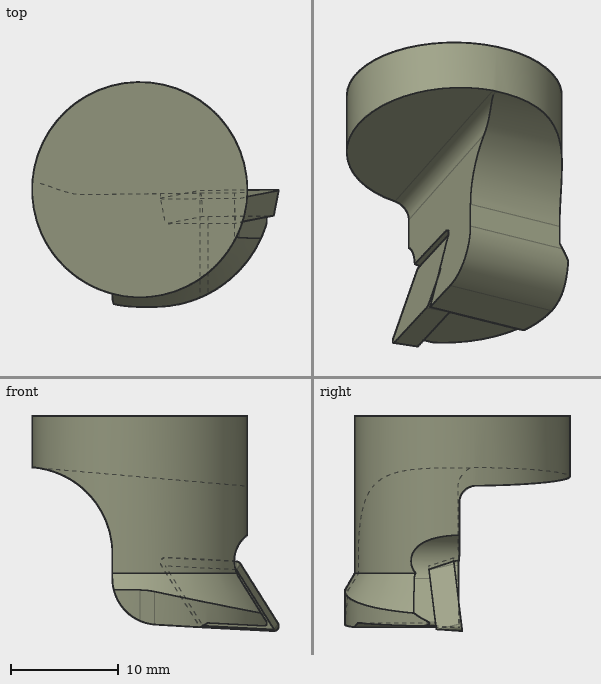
import cadquery as cq
import math


TOOL_HEIGHT = 20.0
SHANK_RADIUS = 10.0
CLEARANCE = 1.0

INSERT_EDGE = 7.75
INSERT_THICKNESS = 2.38
INSERT_NOSE_ANGLE = 55.0
INSERT_NOSE_RADIUS = 0.48
INSERT_RELIEF = 11.0
RAKE_TILT = 7.0
END_EDGE_ANGLE = 3.0
TIP_REACH = 12.92

NECK_LEFT = -2.55
BACK_RELIEF_RADIUS = 8.0
BACK_RELIEF_CENTER_Z = 7.22
HEEL_RADIUS = 4.3
HEEL_START_Z = 4.89
INSERT_SETBACK_BOTTOM = 0.45
INSERT_SETBACK_FLANK = 0.83
STEP_RUN = 0.7
HOLDER_TIP_RADIUS = 0.25
CHIP_NOTCH_RADIUS = 3.0
CHIP_NOTCH_LEFT = 8.79

FLARE_TOP_Z = 5.39
FLARE_ANGLE = 30.0
FOOT_RADIUS = 10.9
FOOT_STRETCH = 1.35

RAKE_FACE_Y = -0.38
RAKE_FACE_YAW = 0.7
CEILING_Z = 14.36
CEILING_TILT = 5.0
CEILING_FILLET = 1.5


def along(point, angle, distance):
    """Point reached from `point` at `angle` degrees in the XZ plane."""
    rad = math.radians(angle)
    return (point[0] + distance * math.cos(rad), point[1] + distance * math.sin(rad))


def crossing(point_a, angle_a, point_b, angle_b):
    """Intersection of two lines, each given by a point and an angle."""
    dx = point_b[0] - point_a[0]
    dz = point_b[1] - point_a[1]
    a, b = math.radians(angle_a), math.radians(angle_b)
    travel = (dx * math.sin(b) - dz * math.cos(b)) / math.sin(b - a)
    return along(point_a, angle_a, travel)


END_DIRECTION = 180.0 - END_EDGE_ANGLE
FLANK_DIRECTION = END_DIRECTION - INSERT_NOSE_ANGLE
FLANK_OUTWARD = FLANK_DIRECTION - 90.0

nose_center = (TIP_REACH - INSERT_NOSE_RADIUS, INSERT_NOSE_RADIUS)
nose_bisector = (END_DIRECTION + FLANK_DIRECTION) / 2
nose_offset = INSERT_NOSE_RADIUS / math.sin(math.radians(INSERT_NOSE_ANGLE / 2))
tip = along(nose_center, nose_bisector + 180.0, nose_offset)
upper_corner = along(tip, FLANK_DIRECTION, INSERT_EDGE)
heel_corner = along(tip, END_DIRECTION, INSERT_EDGE)
inner_corner = along(upper_corner, END_DIRECTION, INSERT_EDGE)
insert_corners = [tip, upper_corner, inner_corner, heel_corner]


def tilt_to_rake(body):
    return body.rotate((0, 0, 0), (1, 0, 0), RAKE_TILT)


def insert_outline():
    """Rhombus with rounded corners in the XZ plane."""
    return (
        cq.Workplane("XZ").polyline(insert_corners).close()
        .offset2D(-INSERT_NOSE_RADIUS).offset2D(INSERT_NOSE_RADIUS)
    )


def make_insert():
    return tilt_to_rake(insert_outline().extrude(INSERT_THICKNESS, taper=INSERT_RELIEF))


def make_insert_opening():
    """Straight opening in front of the rake face, so the pocket is open towards +Y."""
    return tilt_to_rake(insert_outline().extrude(-SHANK_RADIUS))


def make_profile():
    """Outline of the holder in the XZ plane, extruded across the whole stock."""
    outer = FOOT_RADIUS + FOOT_STRETCH + CLEARANCE

    back_center = (NECK_LEFT - BACK_RELIEF_RADIUS, BACK_RELIEF_CENTER_Z)
    back_top = along(back_center, 90, BACK_RELIEF_RADIUS)
    back_mid = along(back_center, 45, BACK_RELIEF_RADIUS)
    back_end = along(back_center, 0, BACK_RELIEF_RADIUS)
    heel_center = (NECK_LEFT + HEEL_RADIUS, HEEL_START_Z)
    heel_start = along(heel_center, 180, HEEL_RADIUS)
    heel_mid = along(heel_center, 225, HEEL_RADIUS)
    heel_end = along(heel_center, END_DIRECTION + 90, HEEL_RADIUS)

    step_end = along(
        along(heel_corner, END_DIRECTION + 180, STEP_RUN), END_DIRECTION - 90, INSERT_SETBACK_BOTTOM
    )
    flank_point = along(tip, FLANK_OUTWARD + 180, INSERT_SETBACK_FLANK)
    holder_tip = crossing(step_end, END_DIRECTION, flank_point, FLANK_DIRECTION)

    notch_center = crossing(
        along(flank_point, FLANK_OUTWARD, CHIP_NOTCH_RADIUS), FLANK_DIRECTION,
        (CHIP_NOTCH_LEFT + CHIP_NOTCH_RADIUS, 0), 90,
    )
    notch_start = along(notch_center, FLANK_OUTWARD + 180, CHIP_NOTCH_RADIUS)
    notch_mid = along(notch_center, 180, CHIP_NOTCH_RADIUS)
    notch_top = along(notch_center, 90, CHIP_NOTCH_RADIUS)

    tip_trim = HOLDER_TIP_RADIUS / math.tan(math.radians(INSERT_NOSE_ANGLE / 2))
    tip_center = along(
        holder_tip, nose_bisector, HOLDER_TIP_RADIUS / math.sin(math.radians(INSERT_NOSE_ANGLE / 2))
    )
    round_start = along(holder_tip, END_DIRECTION, tip_trim)
    round_mid = along(tip_center, nose_bisector + 180, HOLDER_TIP_RADIUS)
    round_end = along(holder_tip, FLANK_DIRECTION, tip_trim)

    return (
        cq.Workplane("XZ")
        .moveTo(-outer, TOOL_HEIGHT)
        .lineTo(-outer, back_top[1])
        .lineTo(*back_top)
        .threePointArc(back_mid, back_end)
        .lineTo(*heel_start)
        .threePointArc(heel_mid, heel_end)
        .lineTo(*heel_corner)
        .lineTo(*step_end)
        .lineTo(*round_start)
        .threePointArc(round_mid, round_end)
        .lineTo(*notch_start)
        .threePointArc(notch_mid, notch_top)
        .lineTo(outer, notch_top[1])
        .lineTo(outer, TOOL_HEIGHT)
        .close()
        .extrude(outer, both=True)
    )


def make_stock():
    """Round shank with a foot flaring outward below it, trimmed to an oblong outline."""
    shank = (
        cq.Workplane("XY").workplane(offset=FLARE_TOP_Z)
        .circle(SHANK_RADIUS).extrude(TOOL_HEIGHT - FLARE_TOP_Z)
    )
    flare_radius = SHANK_RADIUS + FLARE_TOP_Z * math.tan(math.radians(FLARE_ANGLE))
    flare = cq.Workplane(cq.Solid.makeCone(flare_radius, SHANK_RADIUS, FLARE_TOP_Z))
    foot = (
        cq.Workplane("XY").center(FOOT_STRETCH / 2, 0)
        .slot2D(FOOT_STRETCH + 2 * FOOT_RADIUS, 2 * FOOT_RADIUS).extrude(FLARE_TOP_Z)
    )
    return shank.union(flare.intersect(foot))


def make_chip_space():
    """Block that clears the +Y side up to a sloping ceiling with a rounded inner edge."""
    length = 4 * SHANK_RADIUS
    width = 2 * SHANK_RADIUS
    depth = TOOL_HEIGHT + CLEARANCE
    return (
        cq.Workplane("XY")
        .box(length, width, depth, centered=(True, False, False))
        .translate((0, 0, -depth))
        .edges("|X and <Y and >Z").fillet(CEILING_FILLET)
        .rotate((0, 0, 0), (0, 0, 1), RAKE_FACE_YAW)
        .rotate((0, 0, 0), (0, 1, 0), CEILING_TILT)
        .translate((0, RAKE_FACE_Y, CEILING_Z))
    )


def make_holder(insert):
    return (
        make_stock()
        .intersect(make_profile())
        .cut(make_chip_space())
        .cut(insert)
        .cut(make_insert_opening())
    )


insert = make_insert()
holder = make_holder(insert)

result = cq.Compound.makeCompound([holder.val(), insert.val()])